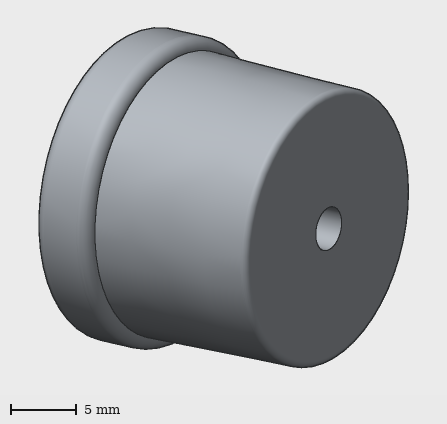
import cadquery as cq
import math

total_length = 18.9
flange_diameter = 24.3
flange_length = 5.0
flange_round = 1.0
plug_end_diameter = 21.68
plug_end_round = 0.5
bore_diameter = 3.4

flange_radius = flange_diameter / 2
plug_base_radius = flange_radius - flange_round
plug_end_radius = plug_end_diameter / 2
arc_mid = math.sqrt(0.5)


def rounded_flange():
    """Disc with a full quarter round on both rims."""
    shoulder = flange_radius - flange_round
    mid_radius = shoulder + flange_round * arc_mid
    mid_inset = flange_round * (1 - arc_mid)
    profile = (
        cq.Workplane("XY")
        .moveTo(0, 0)
        .lineTo(0, shoulder)
        .threePointArc((mid_inset, mid_radius), (flange_round, flange_radius))
        .lineTo(flange_length - flange_round, flange_radius)
        .threePointArc((flange_length - mid_inset, mid_radius), (flange_length, shoulder))
        .lineTo(flange_length, 0)
        .close()
    )
    return profile.revolve(360, (0, 0, 0), (1, 0, 0))


def tapered_plug():
    """Slightly tapered plug with a rounded free end."""
    plug = (
        cq.Workplane("YZ", origin=(flange_length, 0, 0))
        .circle(plug_base_radius)
        .workplane(offset=total_length - flange_length)
        .circle(plug_end_radius)
        .loft(ruled=True)
    )
    return plug.faces(">X").edges().fillet(plug_end_round)


def through_bore():
    return cq.Workplane("YZ").circle(bore_diameter / 2).extrude(total_length)


result = rounded_flange().union(tapered_plug()).cut(through_bore())
result = result.translate((-total_length / 2, 0, 0))